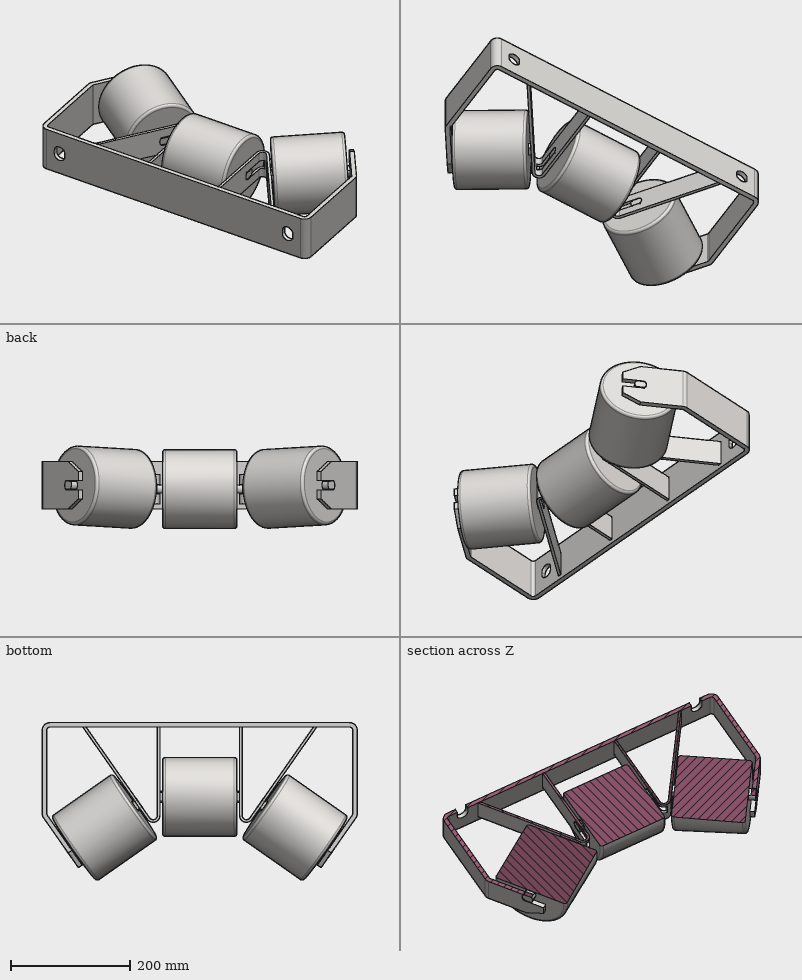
import cadquery as cq
import math

FRAME_LENGTH = 530.0
FRAME_HEIGHT = 80.0
FRAME_THICKNESS = 8.0
FRAME_INNER_BEND = 5.5
FRAME_OUTER_BEND = FRAME_INNER_BEND + FRAME_THICKNESS
ARM_REACH = 30.0
ARM_TAPER_DROP = 17.0

MOUNT_SPACING = 452.5
MOUNT_WIDTH = 20.5
MOUNT_HEIGHT = 27.0

DRUM_DIAMETER = 133.0
DRUM_LENGTH = 125.0
DRUM_FILLET = 5.0
SHAFT_DIAMETER = 19.5
SHAFT_FLATS = 13.0
SLOT_WIDTH = 16.0
SEAT_DIAMETER = 20.0
SUPPORT_GAP = 133.5
HALF_GAP = SUPPORT_GAP / 2

TURN = 35.0
TILT = 2.8
SIDE_X = 160.0
SIDE_Y = 176.5
MIDDLE_Y = 125.0
SIDE_Z = -HALF_GAP * math.tan(math.radians(TILT))
MIDDLE_Z = 2 * SIDE_Z

BRACKET_THICKNESS = 5.0
BRACKET_HEIGHT = 50.0
BRACKET_INNER_BEND = 7.0
BRACKET_OUTER_BEND = BRACKET_INNER_BEND + BRACKET_THICKNESS

COS = math.cos(math.radians(TURN))
SIN = math.sin(math.radians(TURN))


def side_point(along, across):
    """XY point at distances along and across the axis of the left roller, from its centre."""
    return (-SIDE_X + along * COS + across * SIN, SIDE_Y - along * SIN + across * COS)


def across_at_x(along, x):
    """Distance across the left roller axis at which the line `along` reaches x."""
    return (x + SIDE_X - along * COS) / SIN


def across_at_y(along, y):
    """Distance across the left roller axis at which the line `along` reaches y."""
    return (y - SIDE_Y + along * SIN) / COS


def strip(outline, height, z):
    """Extrude a closed XY outline to a height centred on z."""
    return outline.extrude(height).translate((0, 0, z - height / 2))


def shaft_slot(length, depth, z):
    """Slot cutter along +Y whose end seats a shaft lying along X, centred on the shaft."""
    block = cq.Workplane("XY").box(depth, SEAT_DIAMETER, SLOT_WIDTH)
    seat = cq.Workplane("YZ").circle(SEAT_DIAMETER / 2).extrude(depth / 2, both=True)
    mouth = cq.Workplane("XY").box(depth, length, SLOT_WIDTH).translate((0, length / 2, 0))
    return block.intersect(seat).union(mouth).translate((0, 0, z))


def at_side(body, along):
    """Turn a body about Z and move it to the axis of the left roller."""
    x, y = side_point(along, 0)
    return body.rotate((0, 0, 0), (0, 0, 1), -TURN).translate((x, y, 0))


def make_frame():
    """Strip bent into a base, two upright ends and two arms that slope inwards."""
    outer_x = -FRAME_LENGTH / 2
    inner_x = outer_x + FRAME_THICKNESS
    inner_along = -HALF_GAP
    outer_along = inner_along - FRAME_THICKNESS
    outer_foot = (outer_x, 0)
    inner_foot = (inner_x, FRAME_THICKNESS)
    outer_bend = side_point(outer_along, across_at_x(outer_along, outer_x))
    inner_bend = side_point(inner_along, across_at_x(inner_along, inner_x))
    outline = cq.Workplane("XY").polyline([
        (0, 0), outer_foot, outer_bend, side_point(outer_along, ARM_REACH),
        side_point(inner_along, ARM_REACH), inner_bend, inner_foot, (0, FRAME_THICKNESS),
    ]).close()
    half = strip(outline, FRAME_HEIGHT, 0)
    for point, radius in (
        (outer_foot, FRAME_OUTER_BEND), (outer_bend, FRAME_OUTER_BEND),
        (inner_foot, FRAME_INNER_BEND), (inner_bend, FRAME_INNER_BEND),
    ):
        half = half.edges("|Z").edges(cq.NearestToPointSelector((*point, 0))).fillet(radius)

    cut_depth = 2 * FRAME_THICKNESS
    arm_middle = -HALF_GAP - FRAME_THICKNESS / 2
    top = FRAME_HEIGHT / 2
    corner = (
        cq.Workplane("YZ")
        .polyline([(0, top), (ARM_REACH, top), (ARM_REACH, top - ARM_TAPER_DROP)]).close()
        .extrude(cut_depth / 2, both=True)
    )
    half = half.cut(at_side(corner, arm_middle)).cut(at_side(corner.mirror("XY"), arm_middle))
    half = half.cut(at_side(shaft_slot(2 * ARM_REACH, cut_depth, 0), arm_middle))

    frame = half.union(half.mirror("YZ"))
    mounts = (
        cq.Workplane("XZ")
        .pushPoints([(-MOUNT_SPACING / 2, 0), (MOUNT_SPACING / 2, 0)])
        .slot2D(MOUNT_HEIGHT, MOUNT_WIDTH, 90)
        .extrude(-FRAME_THICKNESS)
    )
    return frame.cut(mounts)


def make_bracket():
    """Left bracket: an upright leg beside the middle roller, bent over into a sloping leg."""
    bend_x = -HALF_GAP - BRACKET_OUTER_BEND
    bend_along = HALF_GAP + BRACKET_OUTER_BEND
    bend_across = across_at_x(bend_along, bend_x)
    bend_y = side_point(bend_along, bend_across)[1]
    outer_along = HALF_GAP
    inner_along = HALF_GAP + BRACKET_THICKNESS
    outer_x = -HALF_GAP
    inner_x = outer_x - BRACKET_THICKNESS
    base_y = FRAME_THICKNESS
    outline = (
        cq.Workplane("XY")
        .moveTo(outer_x, base_y)
        .lineTo(outer_x, bend_y)
        .threePointArc((bend_x, bend_y + BRACKET_OUTER_BEND), side_point(outer_along, bend_across))
        .lineTo(*side_point(outer_along, across_at_y(outer_along, base_y)))
        .lineTo(*side_point(inner_along, across_at_y(inner_along, base_y)))
        .lineTo(*side_point(inner_along, bend_across))
        .threePointArc((bend_x, bend_y + BRACKET_INNER_BEND), (inner_x, bend_y))
        .lineTo(inner_x, base_y)
        .close()
    )
    cut_depth = 2 * BRACKET_OUTER_BEND
    slot_length = bend_y + BRACKET_OUTER_BEND - MIDDLE_Y
    upright_slot = shaft_slot(slot_length, cut_depth, MIDDLE_Z).translate((-HALF_GAP, MIDDLE_Y, 0))
    sloping_slot = at_side(shaft_slot(bend_across, cut_depth, MIDDLE_Z), HALF_GAP)
    return strip(outline, BRACKET_HEIGHT, MIDDLE_Z).cut(upright_slot).cut(sloping_slot)


def make_roller(outer_support, inner_support):
    """Roller along X at the origin; its shaft runs through supports of the given thicknesses
    at -X (outer) and +X (inner)."""
    drum_start = -DRUM_LENGTH / 2
    drum = cq.Workplane("YZ", origin=(drum_start, 0, 0)).circle(DRUM_DIAMETER / 2).extrude(DRUM_LENGTH)
    drum = drum.faces("|X").edges().fillet(DRUM_FILLET)
    shaft_start = -HALF_GAP - outer_support
    shaft_length = SUPPORT_GAP + outer_support + inner_support
    shaft = cq.Workplane("YZ", origin=(shaft_start, 0, 0)).circle(SHAFT_DIAMETER / 2).extrude(shaft_length)
    flats = cq.Workplane("XY").box(2 * shaft_length, SHAFT_DIAMETER, SHAFT_FLATS)
    return drum.union(shaft.intersect(flats))


frame = make_frame()
left_bracket = make_bracket()
middle_roller = make_roller(BRACKET_THICKNESS, BRACKET_THICKNESS).translate((0, MIDDLE_Y, MIDDLE_Z))
left_roller = (
    make_roller(FRAME_THICKNESS, BRACKET_THICKNESS)
    .rotate((0, 0, 0), (0, 1, 0), TILT)
    .rotate((0, 0, 0), (0, 0, 1), -TURN)
    .translate((-SIDE_X, SIDE_Y, SIDE_Z))
)

bodies = frame.solids().vals() + middle_roller.solids().vals()
for body in (left_bracket, left_roller):
    for placed in (body, body.mirror("YZ")):
        bodies += placed.solids().vals()

result = cq.Compound.makeCompound(bodies)